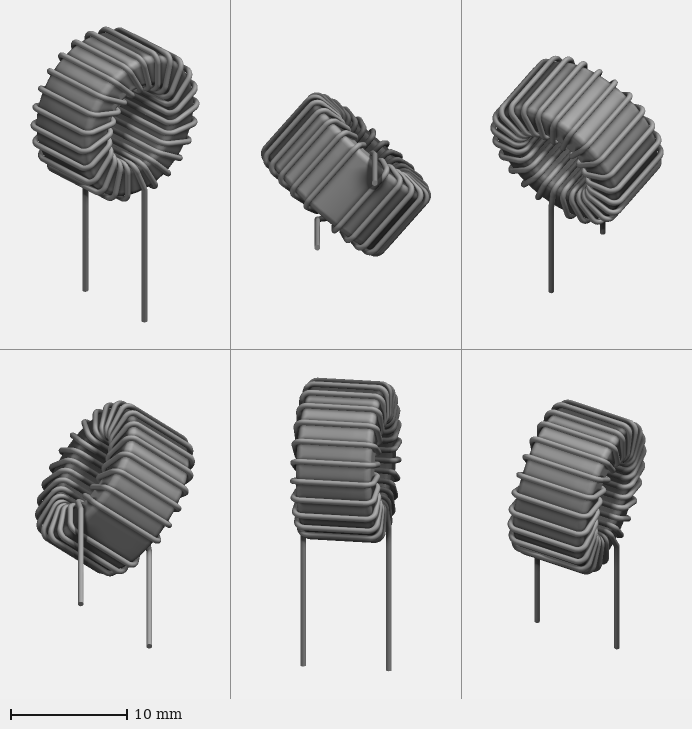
import cadquery as cq
import math


core_outer_diameter = 12.9
core_inner_diameter = 7.5
core_width = 6.55
core_edge_radius = 0.51

wire_diameter = 0.5
radial_clearance = 0.03
turn_positions = 24
pitch_angle = 2 * math.pi / turn_positions

radial_offset = radial_clearance + wire_diameter / 2
outer_run_radius = core_outer_diameter / 2 + radial_offset
inner_run_radius = core_inner_diameter / 2 - radial_offset
side_x = core_width / 2 + wire_diameter / 2
bend_radius = core_edge_radius + wire_diameter / 2

total_height = 25.7
lead_span = 8.0
lead_x = lead_span / 2 - wire_diameter / 2
lead_top_depth = 5.8
lead_end_depth = total_height - outer_run_radius - wire_diameter / 2
step_start_gap = 0.08
step_start_radius = inner_run_radius + bend_radius + step_start_gap


def make_core():
    """Ring with rounded edges, centred on the origin."""
    return (
        cq.Workplane("YZ", origin=(-core_width / 2, 0, 0))
        .circle(core_outer_diameter / 2)
        .circle(core_inner_diameter / 2)
        .extrude(core_width)
        .edges("%CIRCLE")
        .fillet(core_edge_radius)
    )


def winding_point(x, radius, position):
    """Point at a turn position, counted from the bottom of the ring through -Y to the top."""
    angle = position * pitch_angle
    return cq.Vector(x, -radius * math.sin(angle), -radius * math.cos(angle))


def winding_corners():
    """Corner points of the wire centreline, from the end of one lead to the end of the other."""
    lead_in = [
        cq.Vector(-lead_x, 0, -lead_end_depth),
        cq.Vector(-lead_x, 0, -lead_top_depth),
        winding_point(-side_x, step_start_radius, 0),
    ]
    corners = lead_in + [
        winding_point(-side_x, inner_run_radius, 0),
        winding_point(side_x, inner_run_radius, 0),
    ]

    for position in range(turn_positions - 1, 0, -1):
        corners += [
            winding_point(side_x, outer_run_radius, position),
            winding_point(-side_x, outer_run_radius, position),
            winding_point(-side_x, inner_run_radius, position),
            winding_point(side_x, inner_run_radius, position),
        ]

    lead_top = cq.Vector(lead_x, 0, -lead_top_depth)
    last_inner = corners[-1]
    slant = cq.Vector(0, lead_top.y - last_inner.y, lead_top.z - last_inner.z).normalized()
    step_start = last_inner + slant * (step_start_radius - inner_run_radius)
    return corners + [step_start, lead_top, cq.Vector(lead_x, 0, -lead_end_depth)]


def rounded_path(corners):
    """Wire through the corners, with every inner corner rounded to the bend radius."""
    edges = []
    run_start = corners[0]
    for before, corner, after in zip(corners, corners[1:], corners[2:]):
        direction_in = (corner - before).normalized()
        direction_out = (after - corner).normalized()
        setback = bend_radius * math.tan(direction_in.getAngle(direction_out) / 2)
        bend_start = corner - direction_in * setback
        bend_end = corner + direction_out * setback
        edges.append(cq.Edge.makeLine(run_start, bend_start))
        edges.append(cq.Edge.makeTangentArc(bend_start, direction_in, bend_end))
        run_start = bend_end
    edges.append(cq.Edge.makeLine(run_start, corners[-1]))
    return cq.Wire.assembleEdges(edges)


def make_winding():
    """Round wire swept from the end of the -X lead to the end of the +X lead."""
    corners = winding_corners()
    profile_plane = cq.Plane(origin=corners[0].toTuple(), normal=(0, 0, 1))
    return cq.Workplane(profile_plane).circle(wire_diameter / 2).sweep(rounded_path(corners))


core = make_core()
winding = make_winding()

result = cq.Compound.makeCompound([core.val(), winding.val()])